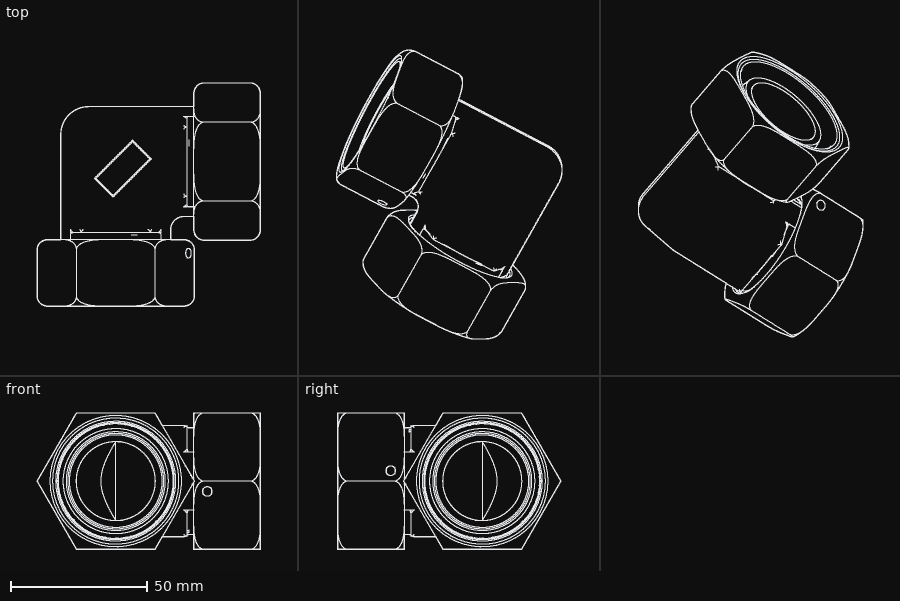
import cadquery as cq
import math


nut_across_flats = 50.0
nut_corner_radius = nut_across_flats / math.sqrt(3)
nut_length = 24.5
overall_length = 81.95
nut_end = overall_length - nut_corner_radius
nut_start = nut_end - nut_length
nut_face_radius = nut_across_flats / 2
nut_corner_round = 3.9
nut_bore_radius = 42.2 / 2
thread_radius = 43.0 / 2
rear_chamfer = 0.6
entry_rim_radius = 24.1
entry_throat_radius = 22.0
entry_cone_depth = 0.6
entry_ridge_radius = 23.15
entry_ridge_depth = 0.5
entry_chamfer_depth = 1.6
wire_hole_diameter = 3.5
wire_hole_offset = 3.8
wire_hole_from_start = 5.0

half_width = 20.2
half_height = 20.45
side_flat_height = 2.1
side_slope = math.radians(20.7)
top_half_width = half_width - (half_height - side_flat_height / 2) * math.tan(side_slope)
long_edge_round = 1.6
outer_corner_round = 10.3
inner_corner_round = 4.7
facet_end = 24.93

shoulder = 26.05
shoulder_draft = 17.0
neck_radius = 39.3 / 2
neck_fillet = 0.8
side_rib_half_height = 10.6
collar_radius = 42.16 / 2
collar_start = 30.0
arm_end = 49.2
cone_length = 10.8
cone_half_angle = math.radians(12)
tip_radius = 17.0
seal_groove_start = 2.6
seal_groove_width = 2.8
seal_groove_floor_radius = 16.2
wire_groove_radius = 3.2 / 2
bore_radius = 29.0 / 2
drill_point_half_angle = math.radians(59)

label_length = 19.8
label_width = 9.7
label_depth = 0.4
label_center = 2.6
label_draft = 45.0


def facet_section(start):
    """Hexagon-like cross-section with flattened sides, on a plane across the +X arm."""
    flat = side_flat_height / 2
    right_half = [(top_half_width, -half_height), (half_width, -flat), (half_width, flat),
                  (top_half_width, half_height)]
    left_half = [(-y, z) for y, z in reversed(right_half)]
    return cq.Workplane("YZ", origin=(start, 0, 0)).polyline(right_half + left_half).close()


def turned(profile):
    """Revolve a closed (distance, radius) sketch in the XY plane about the X axis."""
    return profile.revolve(360, (0, 0, 0), (1, 0, 0))


def to_minus_y_arm(arm):
    """Turn a feature of the +X arm over to the -Y arm."""
    return arm.rotate((0, 0, 0), (0, 0, 1), -90)


def bend(section):
    """Two mitred prisms of one section, with the outer and inner corner edges rounded."""
    reach = 3 * half_width
    overrun = 2 * half_width
    arm_side = cq.Workplane("XY").box(2 * reach, 4 * reach, 2 * reach)
    arm_side = arm_side.translate((reach, 0, 0)).rotate((0, 0, 0), (0, 0, 1), 45)
    plane = cq.Workplane("YZ", origin=(-overrun, 0, 0))
    arm = plane.polyline(section).close().extrude(overrun + collar_start).intersect(arm_side)
    mitred = arm.union(arm.mirror(cq.Vector(1, 1, 0)))

    corner = half_width
    rounded = mitred.edges(cq.selectors.NearestToPointSelector((-corner, corner, 0)))
    rounded = rounded.fillet(outer_corner_round)
    rounded = rounded.edges(cq.selectors.NearestToPointSelector((corner, -corner, 0)))
    return rounded.fillet(inner_corner_round)


def facet_elbow():
    """Common part of an upright bend and two sloping bends, one the mirror of the other."""
    top = half_height
    foot_half_width = half_width + (half_height + side_flat_height / 2) * math.tan(side_slope)
    upright = bend([(-half_width, -top), (half_width, -top), (half_width, top), (-half_width, top)])
    sloping = bend([(-foot_half_width, -top), (foot_half_width, -top),
                    (top_half_width, top), (-top_half_width, top)])
    sloping = sloping.faces(">Z").edges("not(>X or <Y)").fillet(long_edge_round)
    return upright.intersect(sloping).intersect(sloping.mirror("XY"))


def neck():
    """Round neck with a concave fillet against the shoulder."""
    arc_middle = neck_fillet * (1 - math.sqrt(0.5))
    return turned(
        cq.Workplane("XY")
        .moveTo(facet_end, 0)
        .lineTo(facet_end, neck_radius)
        .lineTo(shoulder, neck_radius)
        .lineTo(shoulder, neck_radius + neck_fillet)
        .threePointArc((shoulder + arc_middle, neck_radius + arc_middle),
                       (shoulder + neck_fillet, neck_radius))
        .lineTo(collar_start, neck_radius)
        .lineTo(collar_start, 0)
        .close()
    )


def neck_relief():
    """Material turned away above and below the side ribs, down to the shoulder and the neck."""
    length = collar_start - facet_end
    span = 3 * half_height
    relief = cq.Workplane("XY").box(length, span, span)
    relief = relief.cut(cq.Workplane("XY").box(length, span, 2 * side_rib_half_height))
    relief = relief.translate((facet_end + length / 2, 0, 0))
    drafted_end = facet_section(facet_end).extrude(shoulder - facet_end, taper=shoulder_draft)
    return relief.cut(drafted_end).cut(neck())


def sealing_end():
    """Collar with its wire groove, then the sealing cone with its seal groove."""
    def cone_radius(from_tip):
        return tip_radius + from_tip * math.tan(cone_half_angle)

    groove_back = seal_groove_start + seal_groove_width
    wire_center = nut_start + wire_hole_from_start
    return turned(
        cq.Workplane("XY")
        .moveTo(collar_start, 0)
        .lineTo(collar_start, neck_radius)
        .lineTo(collar_start + collar_radius - neck_radius, collar_radius)
        .lineTo(wire_center - wire_groove_radius, collar_radius)
        .threePointArc((wire_center, collar_radius - wire_groove_radius),
                       (wire_center + wire_groove_radius, collar_radius))
        .lineTo(arm_end - cone_length, collar_radius)
        .lineTo(arm_end - cone_length, cone_radius(cone_length))
        .lineTo(arm_end - groove_back, cone_radius(groove_back))
        .lineTo(arm_end - groove_back, seal_groove_floor_radius)
        .lineTo(arm_end - seal_groove_start, seal_groove_floor_radius)
        .lineTo(arm_end - seal_groove_start, cone_radius(seal_groove_start))
        .lineTo(arm_end, tip_radius)
        .lineTo(arm_end, 0)
        .close()
    )


def drilled_bore():
    """Bore from the arm end to the other axis, closed by a drill point."""
    point_length = bore_radius / math.tan(drill_point_half_angle)
    outline = [(-point_length, 0), (0, bore_radius), (arm_end, bore_radius), (arm_end, 0)]
    return turned(cq.Workplane("XY").polyline(outline).close())


def label_panel():
    """Shallow recess with sloping walls, set square to the mitre on the top face."""
    panel = cq.Workplane("XY").rect(label_length, label_width)
    panel = panel.extrude(-label_depth, taper=label_draft).rotate((0, 0, 0), (0, 0, 1), 45)
    return panel.translate((label_center, -label_center, half_height))


def make_elbow():
    elbow = facet_elbow()
    relief = neck_relief()
    elbow = elbow.cut(relief).cut(to_minus_y_arm(relief))
    end = sealing_end()
    elbow = elbow.union(end).union(to_minus_y_arm(end))
    bore = drilled_bore()
    return elbow.cut(bore).cut(to_minus_y_arm(bore)).cut(label_panel())


def make_nut():
    """Nut on the +X arm, with the wire hole in its lower -Y flat."""
    hexagon = (
        cq.Workplane("YZ", origin=(nut_start, 0, 0))
        .polygon(6, 2 * nut_corner_radius)
        .extrude(nut_length)
    )
    rounded_blank = (
        cq.Workplane("YZ", origin=(nut_start, 0, 0))
        .circle(nut_face_radius + nut_corner_round)
        .extrude(nut_length)
        .edges("%CIRCLE")
        .fillet(nut_corner_round)
    )
    seat = arm_end - cone_length
    throat = nut_end - entry_cone_depth
    bore_outline = [
        (nut_start, 0),
        (nut_start, nut_bore_radius + rear_chamfer),
        (nut_start + rear_chamfer, nut_bore_radius),
        (seat, nut_bore_radius),
        (seat, thread_radius),
        (throat - entry_chamfer_depth, thread_radius),
        (throat, entry_throat_radius),
        (nut_end - entry_ridge_depth, entry_ridge_radius),
        (nut_end, entry_rim_radius),
        (nut_end, 0),
    ]
    bore = turned(cq.Workplane("XY").polyline(bore_outline).close())
    wire_hole = (
        cq.Workplane("XZ", origin=(nut_start + wire_hole_from_start, 0, -wire_hole_offset))
        .circle(wire_hole_diameter / 2)
        .extrude(nut_corner_radius)
    )
    return hexagon.intersect(rounded_blank).cut(bore).cut(wire_hole)


elbow = make_elbow()
nut = make_nut()
nuts = [nut, to_minus_y_arm(nut.rotate((0, 0, 0), (1, 0, 0), 180))]

result = cq.Compound.makeCompound([elbow.val(), *[each.val() for each in nuts]])